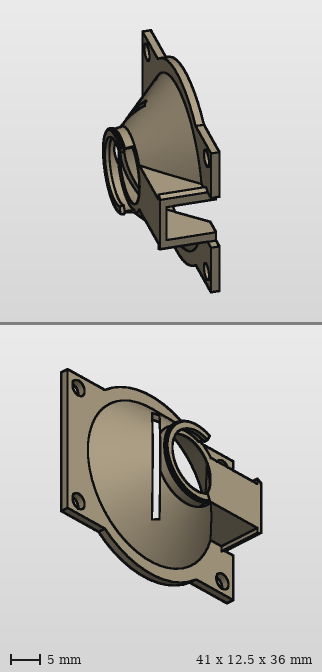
import cadquery as cq
import math

plate_width = 41.0
plate_height = 28.05
plate_thickness = 1.5
disc_diameter = 36.0
hole_diameter = 3.0
hole_spacing_x = 35.6
hole_spacing_z = 22.88

cone_base_radius = 15.5
cone_tip_radius = 7.5
cone_tip_depth = 10.0
wall = 1.15
bore_radius = 6.03

collar_depth = 12.5
collar_waist_radius = 7.2
waist_depth = 11.7
lip_chamfer = 0.25
recess_radius = 7.0
lip_back_depth = 11.73
collar_gap_half_angle = 64.0

channel_end = 18.55
channel_height = 8.95
hook_length = 1.0
hook_rise = 1.02
hook_tip_rise = 0.55
notch_height = 10.0

slot_width = 1.27
slot_centre_depth = 2.62
slot_outer_position = -14.75
slot_inner_position = -3.7
slot_corner_position = -6.85
slot_corner_height = 10.7
slot_end_angle = 35.0


def block(x_start, x_end, depth_start, depth_end, height):
    """Box centred on Z = 0 between two X positions and two depths."""
    return (
        cq.Workplane("XY")
        .box(x_end - x_start, depth_end - depth_start, height)
        .translate(((x_start + x_end) / 2, -(depth_start + depth_end) / 2, 0))
    )


def revolve_profile(points):
    """Turn (radius, depth) points about the Y axis."""
    profile = [(radius, -depth) for radius, depth in points]
    return cq.Workplane("XY").polyline(profile).close().revolve(360, (0, 0), (0, 1))


def make_plate():
    plate = block(-plate_width / 2, plate_width / 2, 0, plate_thickness, plate_height)
    disc = cq.Workplane("XZ").circle(disc_diameter / 2).extrude(plate_thickness)
    holes = (
        cq.Workplane("XZ")
        .rect(hole_spacing_x, hole_spacing_z, forConstruction=True)
        .vertices()
        .circle(hole_diameter / 2)
        .extrude(plate_thickness)
    )
    notch = block(channel_end, plate_width / 2, 0, plate_thickness, notch_height)
    return plate.union(disc).cut(holes).cut(notch)


def make_cone():
    return revolve_profile([
        (0, 0),
        (cone_base_radius, 0),
        (cone_base_radius, plate_thickness),
        (cone_tip_radius, cone_tip_depth),
        (0, cone_tip_depth),
    ])


def make_collar():
    collar = revolve_profile([
        (recess_radius, cone_tip_depth),
        (cone_tip_radius, cone_tip_depth),
        (collar_waist_radius, waist_depth),
        (cone_tip_radius, waist_depth + lip_chamfer),
        (cone_tip_radius, collar_depth - lip_chamfer),
        (cone_tip_radius - lip_chamfer, collar_depth),
        (bore_radius, collar_depth),
        (bore_radius, lip_back_depth),
        (recess_radius, lip_back_depth),
    ])
    gap_reach = 2 * cone_tip_radius
    gap_rise = gap_reach * math.tan(math.radians(collar_gap_half_angle))
    gap = (
        cq.Workplane("XZ", origin=(0, -cone_tip_depth, 0))
        .polyline([(0, 0), (gap_reach, gap_rise), (gap_reach, -gap_rise)])
        .close()
        .extrude(collar_depth - cone_tip_depth)
    )
    return collar.cut(gap)


def make_channel():
    channel = block(0, channel_end, 0, cone_tip_depth, channel_height)
    side = channel_height / 2
    hook_start = channel_end - hook_length
    hook = (
        cq.Workplane("XZ", origin=(0, -plate_thickness, 0))
        .polyline([
            (hook_start, 0),
            (hook_start, side + hook_rise),
            (channel_end, side + hook_tip_rise),
            (channel_end, 0),
        ])
        .close()
        .extrude(cone_tip_depth - plate_thickness)
    )
    return channel.union(hook).union(hook.mirror("XY"))


def make_cavity():
    """Hollow of the cone, the bore through its tip and the inside of the channel."""
    slope = (cone_base_radius - cone_tip_radius) / (cone_tip_depth - plate_thickness)
    radial_wall = wall * math.hypot(1, slope)
    inner_back_radius = cone_base_radius - radial_wall + slope * plate_thickness
    bore_start_depth = (inner_back_radius - bore_radius) / slope
    cone_hollow = revolve_profile([
        (0, 0),
        (inner_back_radius, 0),
        (bore_radius, bore_start_depth),
        (bore_radius, collar_depth),
        (0, collar_depth),
    ])
    channel_hollow = block(0, channel_end, 0, cone_tip_depth - wall, channel_height - 2 * wall)
    return cone_hollow.union(channel_hollow)


def make_slot():
    """Slab at 45 degrees, square to the -X flank, with ends that converge inward."""
    def half_height(position):
        inset = (position - slot_corner_position) * math.tan(math.radians(slot_end_angle))
        return slot_corner_height - inset

    outer_height = half_height(slot_outer_position)
    inner_height = half_height(slot_inner_position)
    return (
        cq.Workplane("XZ")
        .polyline([
            (slot_outer_position, outer_height),
            (slot_inner_position, inner_height),
            (slot_inner_position, -inner_height),
            (slot_outer_position, -outer_height),
        ])
        .close()
        .extrude(slot_width / 2, both=True)
        .rotate((0, 0, 0), (0, 0, 1), 45)
        .translate((slot_centre_depth / 2, -slot_centre_depth / 2, 0))
    )


body = make_plate().union(make_cone()).union(make_channel()).union(make_collar())
result = body.cut(make_cavity()).cut(make_slot())